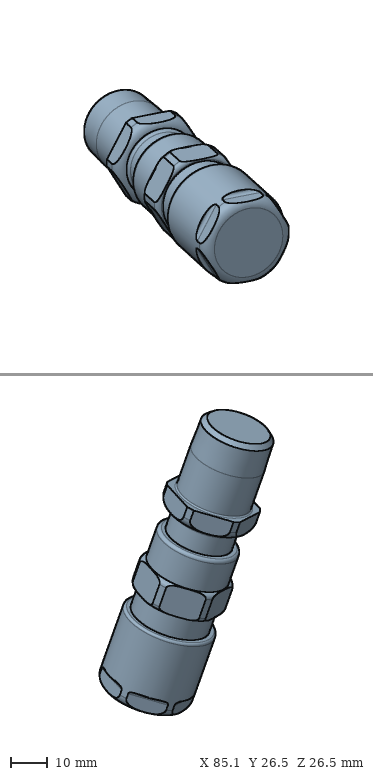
import cadquery as cq
import math

overall_length = 85.05
corner_d = 26.5
across_flats = 24.0
corner_r = corner_d / 2
rounded_end_d = 20.5
large_round = (corner_d - rounded_end_d) / 2
hex_sides = 6
hex_angle = 360 / hex_sides

nose_face_d = 18.0
nose_d = 20.8
shank_d = 21.35
neck_d = 19.1
taper_end = 9.8
entry_hex_start = 22.3
entry_hex_end = 28.5
shank_fillet = 0.4
neck_fillet = 1.0

sleeve_start = 35.4
sleeve_d = 23.65
sleeve_round = 1.0
middle_hex_start = 45.4
middle_hex_end = 54.35
middle_hex_round = (corner_d - sleeve_d) / 2
spigot_d = 22.6
neck_end = middle_hex_start

cap_start = 61.0
cap_round = 0.8
flats_start = 79.4
flat_cove = 1.0
spigot_end = flats_start


def cylinder(diameter, start, end):
    """A cylinder along X between two stations."""
    return cq.Workplane("YZ", origin=(start, 0, 0)).circle(diameter / 2).extrude(end - start)


def revolved(profile):
    """Close a profile, drawn as (x, radius), and turn it about the X axis."""
    return profile.close().revolve(axisStart=(0, 0, 0), axisEnd=(1, 0, 0))


def hex_prism(start, end):
    """A hexagonal bar along X with flats at +Z and -Z and corners at +Y and -Y."""
    across_corners = across_flats / math.cos(math.pi / hex_sides)
    section = cq.Workplane("YZ", origin=(start, 0, 0)).polygon(hex_sides, across_corners)
    return section.extrude(end - start)


def make_entry_body():
    nose_chamfer = (nose_d - nose_face_d) / 2
    nose = revolved(
        cq.Workplane("XY")
        .lineTo(0, nose_face_d / 2)
        .lineTo(nose_chamfer, nose_d / 2)
        .lineTo(taper_end, shank_d / 2)
        .lineTo(entry_hex_start - shank_fillet, shank_d / 2)
        .radiusArc((entry_hex_start, shank_d / 2 + shank_fillet), -shank_fillet)
        .lineTo(entry_hex_start, 0)
    )

    hex_end_r = rounded_end_d / 2
    fillet_rise = neck_d / 2 + neck_fillet - hex_end_r
    fillet_length = math.sqrt(neck_fillet**2 - fillet_rise**2)
    collar = revolved(
        cq.Workplane("XY")
        .moveTo(entry_hex_start, 0)
        .lineTo(entry_hex_start, corner_r)
        .lineTo(entry_hex_end - large_round, corner_r)
        .radiusArc((entry_hex_end, hex_end_r), large_round)
        .radiusArc((entry_hex_end + fillet_length, neck_d / 2), -neck_fillet)
        .lineTo(neck_end, neck_d / 2)
        .lineTo(neck_end, 0)
    )
    return nose.union(collar.intersect(hex_prism(entry_hex_start, neck_end)))


def make_middle_nut():
    sleeve = cylinder(sleeve_d, sleeve_start, middle_hex_start).faces("<X").edges().fillet(sleeve_round)
    hexagon = cylinder(corner_d, middle_hex_start, middle_hex_end).edges("%CIRCLE").fillet(middle_hex_round)
    hexagon = hexagon.intersect(hex_prism(middle_hex_start, middle_hex_end))
    spigot = cylinder(spigot_d, middle_hex_end, spigot_end)
    neck_socket = cylinder(neck_d, sleeve_start, neck_end)
    return sleeve.union(hexagon).union(spigot).cut(neck_socket)


def flat_cutter():
    """Material above the +Z flat: a box, rounded at its inner edge to leave the cove."""
    length = overall_length - flats_start
    height = corner_r - across_flats / 2 + flat_cove
    box = cq.Workplane("XY", origin=(flats_start, 0, across_flats / 2)).box(
        length + flat_cove, corner_d, height, centered=(False, True, False)
    )
    return box.edges("<X and <Z").fillet(flat_cove)


def make_cap_nut():
    cap = cylinder(corner_d, cap_start, overall_length)
    cap = cap.faces("<X").edges().fillet(cap_round)
    cap = cap.faces(">X").edges().fillet(large_round)
    for side in range(hex_sides):
        cap = cap.cut(flat_cutter().rotate((0, 0, 0), (1, 0, 0), side * hex_angle))
    spigot_socket = cylinder(spigot_d, cap_start, spigot_end)
    return cap.cut(spigot_socket)


entry_body = make_entry_body()
middle_nut = make_middle_nut()
cap_nut = make_cap_nut()

bodies = [*entry_body.solids().vals(), *middle_nut.solids().vals(), *cap_nut.solids().vals()]
result = cq.Compound.makeCompound(bodies)